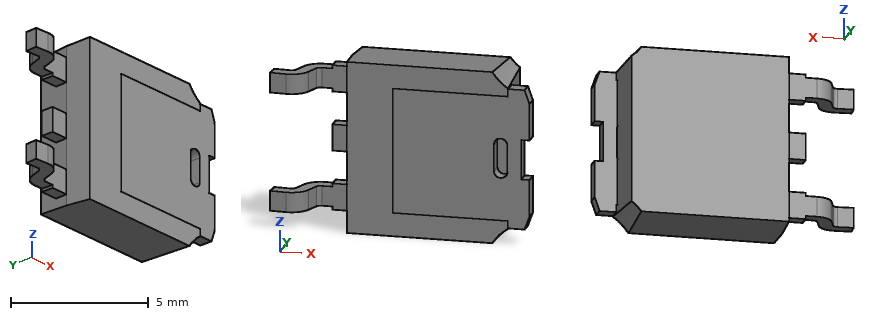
import cadquery as cq
import math


length = 9.72
height = 2.4
width = 6.5
draft = 3.0

parting_x = 2.83
parting_y = 1.1
housing_end = 8.91
corner_cut = 0.58
corner_sag = 0.04
cut_margin = 0.49

pad_start = 4.61
pad_thickness = 0.54
pad_width = 4.72
tab_width = 5.3
tab_chamfer_x = 0.18
tab_chamfer_z = 0.52
notch_depth = 0.31
notch_width = 1.5
slot_start = 8.39
slot_width = 0.51
slot_length = notch_width

lead_pitch = 2.25
lead_thickness = 0.525
shoulder_start = 2.08
shoulder_width = 1.0
lead_width = 0.76
foot_tip_y = 0.31
foot_slope = 4.0
foot_tip_x = lead_thickness / 2 * math.sin(math.radians(foot_slope))
rise_slope = 70.5
upper_bend_x = 1.36
inner_bend_radius = 0.19
outer_bend_radius = inner_bend_radius + lead_thickness
lead_center_y = parting_y + lead_thickness / 2


def plan(y):
    """Workplane at height y whose local axes are X and -Z, extruding toward +Y."""
    return cq.Workplane("XZ", origin=(0, y, 0)).transformed(rotate=(180, 0, 0))


def block(x_start, x_end, y_start, y_end, z_size):
    """Box centred on Z = 0."""
    return cq.Workplane("XY").box(
        x_end - x_start, y_end - y_start, z_size, centered=(False, False, True)
    ).translate((x_start, y_start, 0))


def make_pad_blank():
    """Pad and tab outline without the slot."""
    tab_half = tab_width / 2
    pad_half = pad_width / 2
    notch_half = notch_width / 2
    upper = [
        (pad_start, pad_half),
        (housing_end, pad_half),
        (housing_end, tab_half),
        (length - tab_chamfer_x, tab_half),
        (length, tab_half - tab_chamfer_z),
        (length, notch_half),
        (length - notch_depth, notch_half),
    ]
    lower = [(x, -z) for x, z in reversed(upper)]
    return plan(0).polyline(upper + lower).close().extrude(pad_thickness)


def make_pad(blank):
    slot = (
        plan(0)
        .center(slot_start + slot_width / 2, 0)
        .slot2D(slot_length, slot_width, 90)
        .extrude(pad_thickness)
    )
    return blank.cut(slot)


def make_housing(pad_blank):
    slope = math.tan(math.radians(draft))
    lean = parting_y * slope

    wall_start = parting_x - lean
    body = (
        plan(0)
        .center((wall_start + housing_end) / 2, 0)
        .rect(housing_end - wall_start, width)
        .extrude(height, taper=draft)
    )

    undercut = (
        cq.Workplane("XY", origin=(0, 0, -width / 2))
        .polyline([
            (parting_x, parting_y),
            (parting_x + lean, 0),
            (parting_x - cut_margin, 0),
            (parting_x - cut_margin, parting_y),
        ])
        .close()
        .extrude(width)
    )
    body = body.cut(undercut)

    relief_x = housing_end - corner_cut
    relief_z = width / 2 - corner_cut
    bow = corner_sag / math.sqrt(2)
    middle_x = relief_x + corner_cut / 2 - bow
    middle_z = relief_z + corner_cut / 2 - bow
    for side in (1, -1):
        relief = (
            plan(0)
            .moveTo(relief_x, side * width / 2)
            .threePointArc((middle_x, side * middle_z), (housing_end, side * relief_z))
            .lineTo(housing_end + cut_margin, side * relief_z)
            .lineTo(housing_end + cut_margin, side * (width / 2 + cut_margin))
            .lineTo(relief_x, side * (width / 2 + cut_margin))
            .close()
            .extrude(height)
        )
        body = body.cut(relief)
    return body.cut(pad_blank)


def make_shoulder(housing):
    """Wide lead root, ending against the housing wall."""
    root = block(
        shoulder_start, parting_x + cut_margin,
        parting_y, parting_y + lead_thickness, shoulder_width,
    )
    return root.cut(housing).solids("<X")


def make_bent_strip():
    """Gull-wing strip of constant thickness from the foot to the shoulder."""
    half = lead_thickness / 2
    foot_tan = math.tan(math.radians(foot_slope))
    rise_tan = math.tan(math.radians(rise_slope))

    lower_bend_x = (
        foot_tip_y - lead_center_y + rise_tan * upper_bend_x + foot_tan * foot_tip_x
    ) / (rise_tan + foot_tan)
    lower_bend_y = foot_tip_y - foot_tan * (lower_bend_x - foot_tip_x)

    def corner_offset(angle_in, angle_out):
        """Offset from a centre-line corner to the upper face's corner."""
        bisector = math.radians((angle_in + angle_out) / 2)
        reach = half / math.cos(math.radians((angle_out - angle_in) / 2))
        return -reach * math.sin(bisector), reach * math.cos(bisector)

    centers = [
        ((foot_tip_x, foot_tip_y), corner_offset(-foot_slope, -foot_slope)),
        ((lower_bend_x, lower_bend_y), corner_offset(-foot_slope, rise_slope)),
        ((upper_bend_x, lead_center_y), corner_offset(rise_slope, 0)),
        ((shoulder_start, lead_center_y), corner_offset(0, 0)),
    ]
    top = [(x + dx, y + dy) for (x, y), (dx, dy) in centers]
    bottom = [(x - dx, y - dy) for (x, y), (dx, dy) in centers]
    strip = (
        cq.Workplane("XY", origin=(0, 0, -lead_width / 2))
        .polyline(top + bottom[::-1])
        .close()
        .extrude(lead_width)
    )
    bends = [
        (top[1], inner_bend_radius),
        (bottom[1], outer_bend_radius),
        (top[2], outer_bend_radius),
        (bottom[2], inner_bend_radius),
    ]
    for (x, y), radius in bends:
        corner = cq.selectors.NearestToPointSelector((x, y, 0))
        strip = strip.edges("|Z").edges(corner).fillet(radius)
    return strip


pad_blank = make_pad_blank()
pad = make_pad(pad_blank)
housing = make_housing(pad_blank)
shoulder = make_shoulder(housing)
center_lead = shoulder
outer_lead = make_bent_strip().union(shoulder)
outer_leads = [outer_lead.translate((0, 0, side * lead_pitch)) for side in (1, -1)]

result = cq.Compound.makeCompound(
    [housing.val(), pad.val(), center_lead.val(), *[lead.val() for lead in outer_leads]]
)